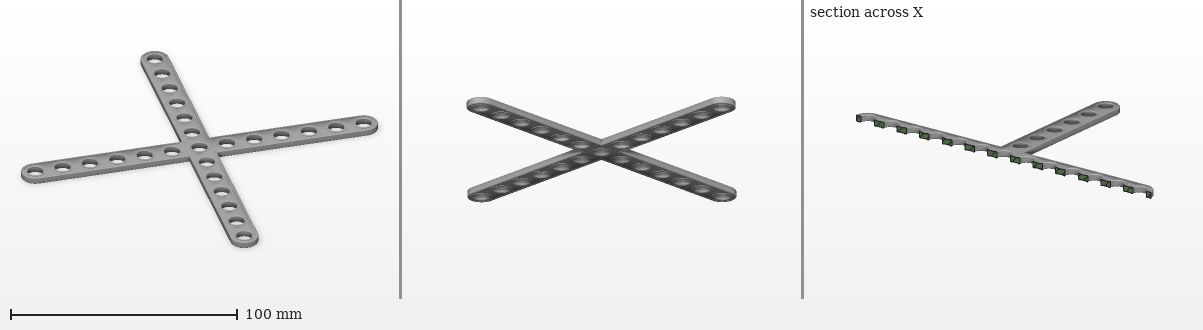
import cadquery as cq

PITCH = 12.5
HOLES_PER_BAR = 13
THICKNESS = PITCH / 4
HOLE_DIAMETER = 7.0
CHAMFER = 0.3
LAND_WIDTH = 0.8
RECESS_DEPTH = 0.2

BAR_LENGTH = HOLES_PER_BAR * PITCH
RIM_WIDTH = CHAMFER + LAND_WIDTH
COLLAR_DIAMETER = HOLE_DIAMETER + 2 * RIM_WIDTH
TOP = THICKNESS / 2


def make_cross(inset, bottom, height, taper=0):
    """Two crossing round-ended bars, drawn in from the outline by the inset."""
    length = BAR_LENGTH - 2 * inset
    width = PITCH - 2 * inset
    plane = cq.Workplane("XY").workplane(offset=bottom)
    bar_x = plane.slot2D(length, width, 0).extrude(height, taper=taper)
    bar_y = plane.slot2D(length, width, 90).extrude(height, taper=taper)
    return bar_x.union(bar_y)


def make_plate():
    """Solid cross with its outline chamfered on both faces."""
    shoulder = TOP - CHAMFER
    core = make_cross(0, -shoulder, 2 * shoulder)
    upper_edge = make_cross(0, shoulder, CHAMFER, taper=45)
    return core.union(upper_edge).union(upper_edge.mirror("XY"))


def hole_centres():
    """Hole positions along both bars, the shared centre listed once."""
    reach = HOLES_PER_BAR // 2
    steps = [i * PITCH for i in range(-reach, reach + 1)]
    along_x = [(step, 0) for step in steps]
    along_y = [(0, step) for step in steps if step != 0]
    return along_x + along_y


def cut_recesses(plate):
    """Sink both faces, leaving the outer rim and a collar around each hole."""
    floor = TOP - RECESS_DEPTH
    plane = cq.Workplane("XY").workplane(offset=floor).pushPoints(hole_centres())
    collars = plane.circle(COLLAR_DIAMETER / 2).extrude(RECESS_DEPTH)
    recess = make_cross(RIM_WIDTH, floor, RECESS_DEPTH).cut(collars)
    return plate.cut(recess).cut(recess.mirror("XY"))


def make_hole_cutter():
    """Through hole about Z with a chamfer at both faces."""
    bore = HOLE_DIAMETER / 2
    mouth = bore + CHAMFER
    neck = TOP - CHAMFER
    profile = [(0, -TOP), (mouth, -TOP), (bore, -neck), (bore, neck), (mouth, TOP), (0, TOP)]
    return cq.Workplane("XZ").polyline(profile).close().revolve(360, (0, 0), (0, 1))


def cut_holes(plate):
    """Cut the same chamfered hole at every position."""
    cutter = make_hole_cutter()
    for x, y in hole_centres():
        plate = plate.cut(cutter.translate((x, y, 0)))
    return plate


result = cut_holes(cut_recesses(make_plate()))